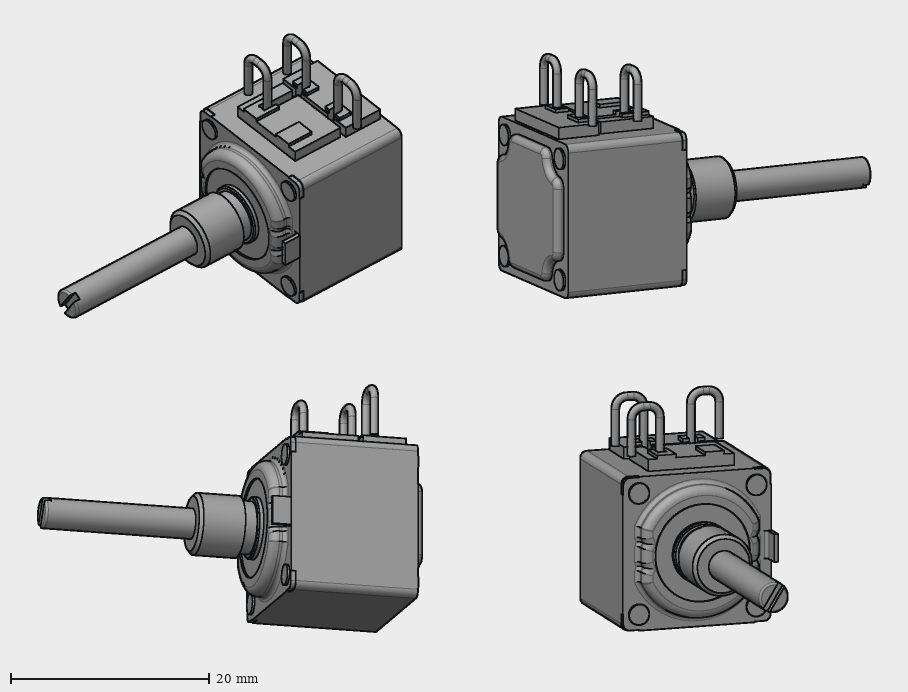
import cadquery as cq
import math

overall_length = 38.15

housing_width = 15.85
housing_height = 15.9
housing_depth = 13.35
housing_shift_x = -0.05
housing_corner_radius = 0.75
corner_recess_length = 1.75
corner_recess_width = 0.5
corner_recess_depth = 0.08
housing_top = housing_height / 2

rivet_spacing = 12.5
rivet_radius = 1.05
rivet_height = 0.23

cover_radius = 6.85
cover_half_width = 6.25
cover_height = 1.68
cover_edge_radius = 0.9
cover_foot_radius = 0.45
notch_offset = 1.25
notch_half_width = 0.5
notch_depth = 0.23
recess_radius = 5.05
recess_depth = 0.2
selection_margin = 0.05

back_width = 13.8
back_height = 0.88
back_edge_radius = 0.65
back_flat_length = 6.55
back_corner_radius = 1.05

bushing_radius = 3.15
bushing_start = 3.4
bushing_end = 8.15
bushing_chamfer = 0.4
neck_radius = 2.7
flange_end = 2.05
flange_chamfer = 0.15
shaft_radius = 1.55
shaft_reach = overall_length - housing_depth - back_height
shaft_tip_radius = 0.23
driver_slot_width = 0.8
driver_slot_depth = 0.7
driver_slot_angle = 58.0

tab_outer_x = 7.955
tab_thickness = 0.45
tab_reach = 1.95
tab_width = 2.85
tab_bend_radius = 0.4

block_height = 1.22
front_block_x = (-4.5, 4.6)
front_block_y = (2.1, 8.0)
rear_block_x = (-4.95, 4.95)
rear_block_y = (8.45, 12.95)
bridge_x = (-0.4, 0.5)
bridge_height = 0.57

pad_height = 0.35
pad_centre_x = 2.55
front_pad_width = 2.02
front_pad_end = 5.1
rear_pad_width = 2.33
rear_pad_y = (8.65, 10.15)

wire_radius = 0.42
loop_height = 6.65
loop_inner_x = 2.5
loop_span = 3.0
loop_bend_radius = 1.2
front_loop_y = 4.35
rear_loop_y = 9.42
groove_width = 0.9
front_groove_start = 3.6


def box(x_range, y_range, z_range):
    """Box filling the given X, Y and Z ranges."""
    size = [high - low for low, high in (x_range, y_range, z_range)]
    corner = (x_range[0], y_range[0], z_range[0])
    return cq.Workplane("XY").box(*size, centered=False).translate(corner)


def facing_front(y):
    """Workplane at the given Y whose normal points along -Y."""
    return cq.Workplane("XZ", origin=(0, y, 0))


def rod(radius, start, end):
    """Cylinder on the shaft axis between two distances ahead of the housing."""
    return facing_front(-start).circle(radius).extrude(end - start)


def make_housing():
    body = facing_front(housing_depth).rect(housing_width, housing_height).extrude(housing_depth)
    body = body.edges("|Y").fillet(housing_corner_radius)
    core = facing_front(housing_depth).rect(
        housing_width - 2 * corner_recess_depth, housing_height - 2 * corner_recess_depth
    ).extrude(housing_depth)
    core = core.edges("|Y").fillet(housing_corner_radius - corner_recess_depth)
    corners = facing_front(corner_recess_width).rect(
        housing_width, housing_height, forConstruction=True
    ).vertices().rect(2 * corner_recess_length, 2 * corner_recess_length).extrude(corner_recess_width)
    return body.cut(corners.cut(core)).translate((housing_shift_x, 0, 0))


def make_rivets():
    return facing_front(housing_depth + rivet_height).rect(
        rivet_spacing, rivet_spacing, forConstruction=True
    ).vertices().circle(rivet_radius).extrude(housing_depth + 2 * rivet_height)


def side_points(side):
    """Corners of one flattened, notched side of the cover, from bottom to top."""
    flat_x = side * cover_half_width
    notch_x = side * (cover_half_width - notch_depth)
    flat_end = math.sqrt(cover_radius**2 - cover_half_width**2)
    points = [(flat_x, -flat_end)]
    for z in (-notch_offset, notch_offset):
        points.append((flat_x, z - notch_half_width))
        points.append((notch_x, z))
        points.append((flat_x, z + notch_half_width))
    points.append((flat_x, flat_end))
    return points


def add_front_cover(body):
    right = side_points(1)
    left = side_points(-1)[::-1]
    outline = facing_front(0).moveTo(*right[0])
    for point in right[1:]:
        outline = outline.lineTo(*point)
    outline = outline.threePointArc((0, cover_radius), left[0])
    for point in left[1:]:
        outline = outline.lineTo(*point)
    outline = outline.threePointArc((0, -cover_radius), right[0]).close()
    cover = outline.extrude(cover_height).faces("<Y").edges().fillet(cover_edge_radius)
    body = body.union(cover)
    foot_half_size = cover_radius + cover_foot_radius
    foot = cq.selectors.BoxSelector(
        (-foot_half_size, -selection_margin, -foot_half_size),
        (foot_half_size, selection_margin, foot_half_size),
    )
    body = body.edges(foot).fillet(cover_foot_radius)
    return body.cut(rod(recess_radius, cover_height - recess_depth, cover_height))


def make_back_cover():
    half_width = back_width / 2
    flat_end = back_flat_length / 2
    rivet = rivet_spacing / 2
    round_centre = half_width - back_corner_radius
    centre_distance = math.hypot(rivet - flat_end, rivet - round_centre)
    scoop_radius = centre_distance - back_corner_radius
    share = back_corner_radius / centre_distance
    blend_near = flat_end + share * (rivet - flat_end)
    blend_far = round_centre + share * (rivet - round_centre)
    round_middle_angle = math.atan2(rivet - round_centre, rivet - flat_end) / 2 + math.pi / 4
    round_near = flat_end + back_corner_radius * math.cos(round_middle_angle)
    round_far = round_centre + back_corner_radius * math.sin(round_middle_angle)
    scoop_middle = rivet - scoop_radius * math.sqrt(0.5)

    def turned(point, quarter):
        """Point rotated clockwise by a number of quarter turns."""
        x, z = point
        for _ in range(quarter):
            x, z = z, -x
        return x, z

    outline = facing_front(housing_depth + back_height).moveTo(-flat_end, half_width)
    for quarter in range(4):
        outline = outline.lineTo(*turned((flat_end, half_width), quarter))
        for middle, end in (
            ((round_near, round_far), (blend_near, blend_far)),
            ((scoop_middle, scoop_middle), (blend_far, blend_near)),
            ((round_far, round_near), (half_width, flat_end)),
        ):
            outline = outline.threePointArc(turned(middle, quarter), turned(end, quarter))
    cover = outline.close().extrude(back_height)
    return cover.faces(">Y").edges().fillet(back_edge_radius)


def make_bushing():
    flange = rod(bushing_radius, 0, flange_end).faces("<Y").edges().chamfer(flange_chamfer)
    neck = rod(neck_radius, 0, bushing_start)
    sleeve = rod(bushing_radius, bushing_start, bushing_end).faces("<Y").edges().chamfer(bushing_chamfer)
    return flange.union(neck).union(sleeve)


def make_shaft():
    shaft = rod(shaft_radius, 0, shaft_reach).faces("<Y").edges().fillet(shaft_tip_radius)
    slot_cut_length = 3 * shaft_radius
    slot = facing_front(-shaft_reach + driver_slot_depth).transformed(
        rotate=(0, 0, driver_slot_angle)
    ).rect(slot_cut_length, driver_slot_width).extrude(driver_slot_depth)
    return shaft.cut(slot)


def make_tab():
    inner_x = tab_outer_x - tab_thickness
    bend_x = inner_x - tab_bend_radius
    bend_sag = tab_bend_radius * (1 - math.sqrt(0.5))
    profile = (
        cq.Workplane("XY", origin=(0, 0, -tab_width / 2))
        .moveTo(bend_x, 0)
        .threePointArc((inner_x - bend_sag, -bend_sag), (inner_x, -tab_bend_radius))
        .lineTo(inner_x, -tab_reach)
        .lineTo(tab_outer_x, -tab_reach)
        .lineTo(tab_outer_x, 0)
        .close()
    )
    return profile.extrude(tab_width)


def make_terminal_blocks():
    block_top = housing_top + block_height
    block_z = (housing_top, block_top)
    pad_z = (block_top, block_top + pad_height)
    gap_y = (front_block_y[1], rear_block_y[0])
    blocks = box(front_block_x, front_block_y, block_z)
    blocks = blocks.union(box(rear_block_x, rear_block_y, block_z))
    blocks = blocks.union(box(bridge_x, gap_y, (housing_top, housing_top + bridge_height)))
    for x in (-pad_centre_x, pad_centre_x):
        front_x = (x - front_pad_width / 2, x + front_pad_width / 2)
        rear_x = (x - rear_pad_width / 2, x + rear_pad_width / 2)
        blocks = blocks.union(box(front_x, (front_block_y[0], front_pad_end), pad_z))
        blocks = blocks.union(box(rear_x, rear_pad_y, pad_z))
    for x, start in ((-loop_inner_x, front_groove_start), (loop_inner_x, gap_y[0])):
        groove_x = (x - groove_width / 2, x + groove_width / 2)
        blocks = blocks.cut(box(groove_x, (start, rear_loop_y), (housing_top, pad_z[1])))
    return blocks


def make_wire_loop(y, inner_x, outer_x):
    """Round wire rising from the housing at inner_x and hanging free at outer_x."""
    crown = housing_top + loop_height - wire_radius
    bend_start = crown - loop_bend_radius
    step = math.copysign(loop_bend_radius, outer_x - inner_x)
    path = (
        cq.Workplane("XZ", origin=(0, y, 0))
        .moveTo(inner_x, housing_top)
        .lineTo(inner_x, bend_start)
        .tangentArcPoint((inner_x + step, crown), relative=False)
        .lineTo(outer_x - step, crown)
        .tangentArcPoint((outer_x, bend_start), relative=False)
        .lineTo(outer_x, housing_top + block_height)
    )
    return cq.Workplane("XY", origin=(inner_x, y, housing_top)).circle(wire_radius).sweep(path)


result = add_front_cover(make_housing())
for feature in (
    make_rivets(),
    make_back_cover(),
    make_bushing(),
    make_shaft(),
    make_tab(),
    make_terminal_blocks(),
):
    result = result.union(feature)
for loop_y, side in ((front_loop_y, -1), (rear_loop_y, -1), (rear_loop_y, 1)):
    result = result.union(make_wire_loop(loop_y, side * loop_inner_x, side * (loop_inner_x + loop_span)))